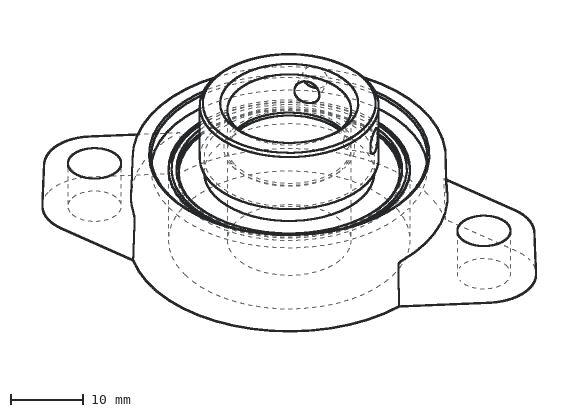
import cadquery as cq
import math

overall_length = 70.3
body_diameter = 44.0
body_height = 14.3
draft_angle = 2.0
body_edge_radius = 0.5

lug_height = 7.2
lug_edge_radius = 0.4
lug_tip_radius = 6.95
lug_flank_angle = 21.0
bolt_spacing = 55.9
bolt_hole_diameter = 7.3

recess_diameter = 37.95
recess_chamfer = 0.3
recess_floor_z = 11.9

race_diameter = 33.2
race_chamfer = 0.4
race_top_z = recess_floor_z

shield_groove_outer_diameter = 31.0
shield_groove_inner_diameter = 30.4
shield_groove_depth = 0.15
shield_z = 11.3

neck_diameter = 23.4
collar_diameter = 24.6
collar_bottom_z = 13.7
collar_top_z = 22.85
collar_chamfer = 0.4

shaft_bore_diameter = 17.0
bore_chamfer_width = 1.0
bore_chamfer_height = 1.05
bore_groove_top_z = 15.4
bore_groove_size = 0.5

set_screw_diameter = 3.6
set_screw_z = 19.05


def body_profile_radius(z):
    """Radius of the drafted round body at height z."""
    return body_diameter / 2 - z * math.tan(math.radians(draft_angle))


def make_round_body():
    top_radius = body_profile_radius(body_height)
    body = (
        cq.Workplane("XZ")
        .moveTo(0, 0)
        .lineTo(body_diameter / 2, 0)
        .lineTo(top_radius, body_height)
        .lineTo(0, body_height)
        .close()
        .revolve(360, (0, 0), (0, 1))
    )
    return body.faces(">Z").edges().fillet(body_edge_radius)


def make_lug(side):
    """One drafted lug, from the body axis out to a rounded tip; side is +1 or -1 along X."""
    tip_x = overall_length / 2
    tip_center_x = tip_x - lug_tip_radius
    flank = math.radians(lug_flank_angle)
    tangent_x = tip_center_x + lug_tip_radius * math.sin(flank)
    tangent_y = lug_tip_radius * math.cos(flank)
    root_y = tangent_y + tangent_x * math.tan(flank)
    lug = (
        cq.Workplane("XY")
        .moveTo(0, -root_y)
        .lineTo(side * tangent_x, -tangent_y)
        .threePointArc((side * tip_x, 0), (side * tangent_x, tangent_y))
        .lineTo(0, root_y)
        .close()
        .extrude(lug_height, taper=draft_angle)
    )
    return lug.faces(">Z").edges().fillet(lug_edge_radius)


def make_recess():
    """Round recess in the top of the body, chamfered at its mouth."""
    mouth_radius = recess_diameter / 2 + recess_chamfer
    section = [
        (0, recess_floor_z),
        (recess_diameter / 2, recess_floor_z),
        (recess_diameter / 2, body_height - recess_chamfer),
        (mouth_radius, body_height),
        (0, body_height),
    ]
    return cq.Workplane("XZ").polyline(section).close().revolve(360, (0, 0), (0, 1))


def make_housing():
    housing = make_round_body()
    for side in (-1, 1):
        housing = housing.union(make_lug(side))
    bolt_holes = (
        cq.Workplane("XY")
        .pushPoints([(-bolt_spacing / 2, 0), (bolt_spacing / 2, 0)])
        .circle(bolt_hole_diameter / 2)
        .extrude(lug_height)
    )
    bearing_seat = cq.Workplane("XY").circle(race_diameter / 2).extrude(body_height)
    return housing.cut(bolt_holes).cut(make_recess()).cut(bearing_seat)


def make_bearing_blank():
    """Half-section of race, shield, neck, collar and grooved bore, revolved about Z."""
    race_radius = race_diameter / 2
    groove_floor_z = shield_z - shield_groove_depth
    bore_radius = shaft_bore_diameter / 2
    collar_radius = collar_diameter / 2
    section = [
        (bore_radius, 0),
        (race_radius, 0),
        (race_radius, race_top_z - race_chamfer),
        (race_radius - race_chamfer, race_top_z),
        (shield_groove_outer_diameter / 2, race_top_z),
        (shield_groove_outer_diameter / 2, groove_floor_z),
        (shield_groove_inner_diameter / 2, groove_floor_z),
        (shield_groove_inner_diameter / 2, shield_z),
        (neck_diameter / 2, shield_z),
        (neck_diameter / 2, collar_bottom_z),
        (collar_radius, collar_bottom_z),
        (collar_radius, collar_top_z - collar_chamfer),
        (collar_radius - collar_chamfer, collar_top_z),
        (bore_radius + bore_chamfer_width, collar_top_z),
        (bore_radius, collar_top_z - bore_chamfer_height),
        (bore_radius, bore_groove_top_z),
        (bore_radius + bore_groove_size, bore_groove_top_z),
        (bore_radius, bore_groove_top_z - bore_groove_size),
    ]
    return cq.Workplane("XZ").polyline(section).close().revolve(360, (0, 0), (0, 1))


def make_set_screw_hole(direction):
    """Radial hole from the axis out through the collar wall along direction."""
    start = cq.Vector(0, 0, set_screw_z)
    return cq.Workplane(
        cq.Solid.makeCylinder(set_screw_diameter / 2, collar_diameter, start, direction)
    )


def make_bearing():
    bearing = make_bearing_blank()
    for direction in (cq.Vector(1, 0, 0), cq.Vector(0, 1, 0)):
        bearing = bearing.cut(make_set_screw_hole(direction))
    return bearing


housing = make_housing()
bearing = make_bearing()
result = cq.Compound.makeCompound([housing.val(), bearing.val()])